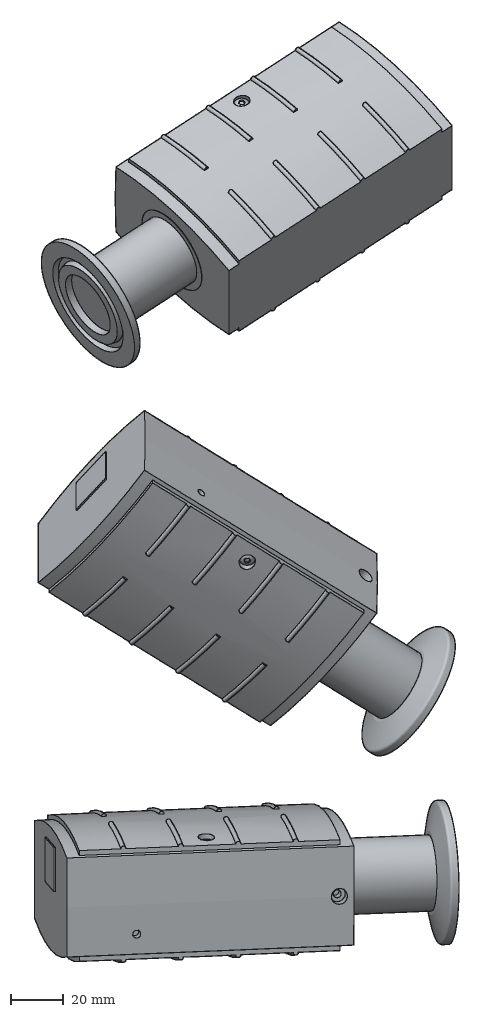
import cadquery as cq
import math


total_length = 153.1

housing_front = 41.6
housing_back = 152.5
housing_length = housing_back - housing_front
housing_middle = (housing_front + housing_back) / 2
right_side = 33.7
left_ridge = -33.4
left_corner = -32.9
housing_half_height = 23.9
crown_radius = 119.4
crown_center_z = housing_half_height - crown_radius

cover_thickness = 1.8
cover_radius = crown_radius + cover_thickness
cover_left = -31.4
cover_end_margin = 5.0
cover_length = housing_length - 2 * cover_end_margin

rib_radius = 1.0
rib_pitch = 22.2
ribs_per_row = 4
rib_gap = 14.1
gap_center_x = (cover_left + right_side) / 2

screw_x = -24.5
screw_hole_radius = 3.0
screw_hole_depth = 2.1
screw_dome_height = 1.4
socket_radius = 1.2
socket_depth = 0.9

port_y = 47.3
port_radius = 3.0
port_depth = 4.6
pilot_radius = 1.5
pilot_depth = 9.2
small_hole_y = 125.5
small_hole_z = -11.5
small_hole_radius = 1.5
small_hole_depth = 4.6

plate_width = 18.5
plate_bottom = 0.9
plate_top = 18.0
plate_thickness = total_length - housing_back

seat_radius = 17.6
seat_depth = 0.2
neck_radius = 14.5
flange_diameter = 55.0
flange_radius = flange_diameter / 2
rim_thickness = 3.0
flange_thickness = 6.1
cone_angle = 15.0
rim_fillet = 1.0
cone_top_radius = flange_radius - (flange_thickness - rim_thickness) / math.tan(math.radians(cone_angle))
bore_radius = 13.2
bore_depth = 3.0
groove_outer_radius = 20.7
groove_inner_radius = 17.3
groove_depth = 2.3
groove_draft = 0.6

overlap = 1.5


def crowned_top(radius, left, right, y_start, length):
    """Block between x = left and right, from z = 0 up to the crown arc."""
    def crown_z(x):
        return crown_center_z + math.sqrt(radius**2 - x**2)

    return (
        cq.Workplane("XZ", origin=(0, y_start, 0))
        .moveTo(left, 0)
        .lineTo(left, crown_z(left))
        .threePointArc((0, crown_z(0)), (right, crown_z(right)))
        .lineTo(right, 0)
        .close()
        .extrude(-length)
    )


def housing_upper_half():
    """Upper half of the housing, its left side leaning in from mid height to the corner."""
    block = crowned_top(crown_radius, left_ridge, right_side, housing_front, housing_length)
    corner_z = crown_center_z + math.sqrt(crown_radius**2 - left_corner**2)
    lean_at_top = (left_corner - left_ridge) * housing_half_height / corner_z
    side_wedge = (
        cq.Workplane("XZ", origin=(0, housing_front, 0))
        .polyline([
            (left_ridge, 0),
            (left_ridge + lean_at_top, housing_half_height),
            (left_ridge, housing_half_height),
        ])
        .close()
        .extrude(-housing_length)
    )
    return block.cut(side_wedge)


def ribs():
    """Two rows of half-round ribs that follow the crown of the cover."""
    pieces = []
    row_starts = (cover_left, gap_center_x + rib_gap / 2)
    row_length = gap_center_x - rib_gap / 2 - cover_left
    for index in range(ribs_per_row):
        y = housing_middle + (index - (ribs_per_row - 1) / 2) * rib_pitch
        arc_center = cq.Vector(0, y, crown_center_z)
        along_y = cq.Vector(0, 1, 0)
        ring = cq.Workplane(cq.Solid.makeTorus(cover_radius, rib_radius, arc_center, along_y))
        for start in row_starts:
            window = cq.Workplane("XY", origin=(start, y, 0)).box(
                row_length, 4 * rib_radius, 2 * housing_half_height, centered=(False, True, False)
            )
            pieces.append(ring.intersect(window))
    return pieces


def screw_recess():
    """Round hole with a domed, hexagon-socket screw head left standing in it."""
    rim_z = crown_center_z + math.sqrt(cover_radius**2 - screw_x**2)
    floor_z = rim_z - screw_hole_depth
    dome_z = floor_z + screw_dome_height
    hole = (
        cq.Workplane("XY", origin=(screw_x, housing_middle, floor_z))
        .circle(screw_hole_radius)
        .extrude(screw_hole_depth + overlap)
    )
    dome_sphere_radius = (screw_hole_radius**2 + screw_dome_height**2) / (2 * screw_dome_height)
    dome = cq.Workplane("XY", origin=(screw_x, housing_middle, dome_z - dome_sphere_radius)).sphere(
        dome_sphere_radius
    )
    socket = (
        cq.Workplane("XY", origin=(screw_x, housing_middle, dome_z - socket_depth))
        .polygon(6, 2 * socket_radius)
        .extrude(socket_depth)
    )
    return hole.cut(dome).union(socket)


def upper_half():
    """Upper half of the housing with its cover, ribs and screw."""
    cover = crowned_top(
        cover_radius, cover_left, right_side, housing_front + cover_end_margin, cover_length
    )
    half = housing_upper_half().union(cover)
    for rib in ribs():
        half = half.union(rib)
    return half.cut(screw_recess())


def side_hole(y, z, radius, depth):
    """Round hole going in from the left side along +X."""
    return (
        cq.Workplane("YZ", origin=(left_ridge - overlap, y, z))
        .circle(radius)
        .extrude(depth + overlap)
    )


def connector_plate():
    return cq.Workplane("XY", origin=(0, housing_back - overlap, plate_bottom)).box(
        plate_width, plate_thickness + overlap, plate_top - plate_bottom, centered=(True, False, False)
    )


def seat():
    """Shallow round seat in the front of the housing, where the neck enters."""
    return (
        cq.Workplane("XZ", origin=(0, housing_front + seat_depth, 0))
        .circle(seat_radius)
        .extrude(seat_depth + overlap)
    )


def neck_and_flange():
    """Revolved about Y; profile points are (radius, y)."""
    axis = ((0, 0), (0, 1))
    neck = cq.Workplane("XY").rect(neck_radius, housing_front + overlap, centered=False).revolve(360, *axis)
    flange = (
        cq.Workplane("XY")
        .polyline([
            (0, 0),
            (flange_radius, 0),
            (flange_radius, rim_thickness),
            (cone_top_radius, flange_thickness),
            (0, flange_thickness),
        ])
        .close()
        .revolve(360, *axis)
    )
    flange = flange.edges("%CIRCLE").edges("<<Y[1]").fillet(rim_fillet)
    groove = (
        cq.Workplane("XY")
        .polyline([
            (groove_inner_radius, 0),
            (groove_outer_radius, 0),
            (groove_outer_radius - groove_draft, groove_depth),
            (groove_inner_radius + groove_draft, groove_depth),
        ])
        .close()
        .revolve(360, *axis)
    )
    bore = cq.Workplane("XY").rect(bore_radius, bore_depth, centered=False).revolve(360, *axis)
    return flange.union(neck).cut(groove).cut(bore)


top = upper_half()
housing = top.union(top.mirror("XY"))
housing = housing.cut(side_hole(port_y, 0, port_radius, port_depth))
housing = housing.cut(side_hole(port_y, 0, pilot_radius, pilot_depth))
housing = housing.cut(side_hole(small_hole_y, small_hole_z, small_hole_radius, small_hole_depth))
housing = housing.cut(seat())

result = housing.union(connector_plate()).union(neck_and_flange())